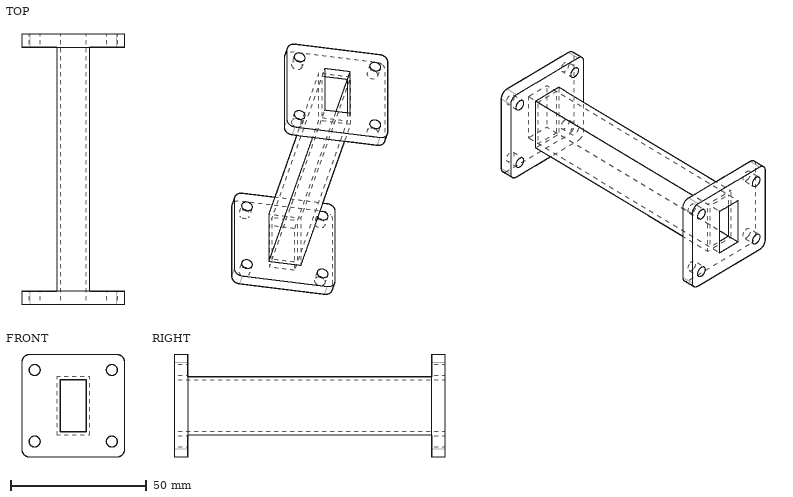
import cadquery as cq

overall_length = 100.0
flange_size = 38.0
flange_thickness = 5.0
corner_radius = 3.0

channel_width = 9.525
channel_height = 19.05
wall_thickness = 1.27
tube_width = channel_width + 2 * wall_thickness
tube_height = channel_height + 2 * wall_thickness
tube_length = overall_length - 2 * flange_thickness

bolt_hole_diameter = 4.0
bolt_spacing_x = 28.5
bolt_spacing_z = 26.4


def workplane_at(y_start):
    """Plane parallel to XZ at y_start; positive extrusion runs toward +Y."""
    return cq.Workplane(cq.Plane(origin=(0, y_start, 0), xDir=(-1, 0, 0), normal=(0, 1, 0)))


def make_tube():
    """Rectangular tube that spans the gap between the flanges."""
    return (
        workplane_at(-tube_length / 2)
        .rect(tube_width, tube_height)
        .rect(channel_width, channel_height)
        .extrude(tube_length)
    )


def make_flange(y_start):
    """Square flange with rounded corners, four bolt holes and the channel opening."""
    plate = (
        workplane_at(y_start)
        .rect(flange_size, flange_size)
        .extrude(flange_thickness)
        .edges("|Y")
        .fillet(corner_radius)
    )
    opening = (
        workplane_at(y_start)
        .rect(channel_width, channel_height)
        .extrude(flange_thickness)
    )
    bolt_holes = (
        workplane_at(y_start)
        .rect(bolt_spacing_x, bolt_spacing_z, forConstruction=True)
        .vertices()
        .circle(bolt_hole_diameter / 2)
        .extrude(flange_thickness)
    )
    return plate.cut(opening).cut(bolt_holes)


tube = make_tube()
flange_starts = [-overall_length / 2, tube_length / 2]
flanges = [make_flange(y_start) for y_start in flange_starts]

result = cq.Compound.makeCompound([tube.val(), *[flange.val() for flange in flanges]])